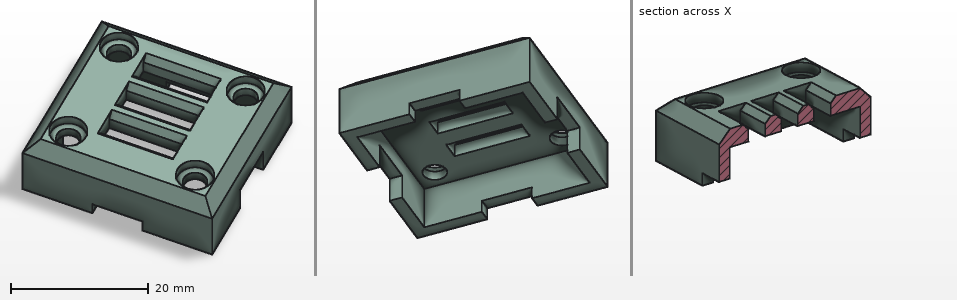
import cadquery as cq

LENGTH = 30.4
WIDTH = 27.86
HEIGHT = 10.04
WALL = 2.0
ROOF = 3.04
TOP_CHAMFER = 2.0
CAVITY_HEIGHT = HEIGHT - ROOF

HOLE_SPACING_X = 20.32
HOLE_SPACING_Y = 17.78
HOLE_DIAMETER = 3.6
COUNTERBORE_DIAMETER = 5.6
COUNTERBORE_DEPTH = 1.54

WINDOW_COUNT = 3
WINDOW_LENGTH = 12.0
WINDOW_WIDTH = 5.0
WINDOW_BEVEL = 1.0
RIB_WIDTH = 1.0
WINDOW_PITCH = WINDOW_WIDTH + RIB_WIDTH
WINDOW_ROW_X = -0.08
WINDOW_ROW_Y = 1.0

NOTCH_WIDTH = 8.0
SIDE_NOTCH_HEIGHT = 4.0
FRONT_NOTCH_HEIGHT = 2.0


def base_box(length, width, height):
    """Box centred in X and Y that stands on the base plane."""
    return cq.Workplane("XY").box(length, width, height, centered=(True, True, False))


def shell():
    """Cap with a chamfered top rim and an open cavity below the roof."""
    body = base_box(LENGTH, WIDTH, HEIGHT).faces(">Z").chamfer(TOP_CHAMFER)
    return body.cut(base_box(LENGTH - 2 * WALL, WIDTH - 2 * WALL, CAVITY_HEIGHT))


def add_screw_holes(body):
    return (
        body.faces(">Z")
        .workplane(origin=(0, 0, HEIGHT))
        .rarray(HOLE_SPACING_X, HOLE_SPACING_Y, 2, 2)
        .cboreHole(HOLE_DIAMETER, COUNTERBORE_DIAMETER, COUNTERBORE_DEPTH)
    )


def window(center_y):
    """Cutter for one window: straight through the roof, flaring toward the top in Y."""
    half_top = WINDOW_WIDTH / 2
    half_throat = half_top - WINDOW_BEVEL
    bevel_z = HEIGHT - WINDOW_BEVEL
    return (
        cq.Workplane("YZ", origin=(WINDOW_ROW_X, center_y, 0))
        .moveTo(-half_throat, CAVITY_HEIGHT)
        .lineTo(half_throat, CAVITY_HEIGHT)
        .lineTo(half_throat, bevel_z)
        .lineTo(half_top, HEIGHT)
        .lineTo(-half_top, HEIGHT)
        .lineTo(-half_throat, bevel_z)
        .close()
        .extrude(WINDOW_LENGTH / 2, both=True)
    )


def add_windows(body):
    for index in range(WINDOW_COUNT):
        offset = (index - (WINDOW_COUNT - 1) / 2) * WINDOW_PITCH
        body = body.cut(window(WINDOW_ROW_Y + offset))
    return body


def add_notches(body):
    """Notch all four walls; each cutter passes through a pair of opposite walls."""
    side_notches = base_box(LENGTH, NOTCH_WIDTH, SIDE_NOTCH_HEIGHT)
    front_notches = base_box(NOTCH_WIDTH, WIDTH, FRONT_NOTCH_HEIGHT)
    return body.cut(side_notches).cut(front_notches)


result = add_notches(add_windows(add_screw_holes(shell())))